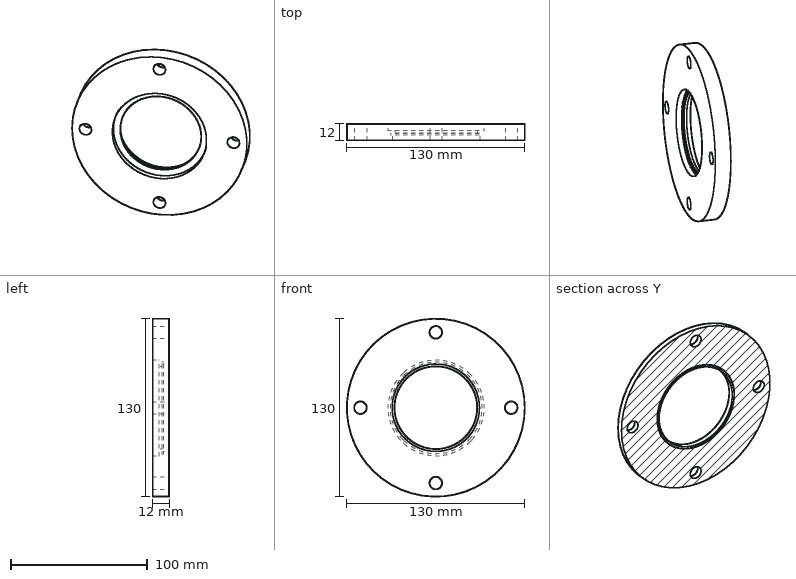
import cadquery as cq

outer_diameter = 130.0
thickness = 12.0

front_seat_diameter = 63.8
front_seat_depth = 5.5
lip_diameter = 60.2
lip_width = 2.0
rear_recess_diameter = 70.1
rear_recess_start = front_seat_depth + lip_width
rear_recess_depth = thickness - rear_recess_start

groove_diameter = 67.0
groove_start = 4.3
groove_width = 1.0

bolt_hole_diameter = 9.0
bolt_circle_diameter = 110.0
bolt_hole_count = 4


def cylinder(diameter, start, length):
    """Cylinder along +Y beginning at the given distance behind the front face."""
    plane = cq.Workplane("XZ", origin=(0, start, 0))
    return plane.circle(diameter / 2).extrude(-length)


def bolt_holes():
    """Through holes evenly spaced on the bolt circle."""
    return (
        cq.Workplane("XZ")
        .polarArray(bolt_circle_diameter / 2, 0, 360, bolt_hole_count)
        .circle(bolt_hole_diameter / 2)
        .extrude(-thickness)
    )


result = (
    cylinder(outer_diameter, 0, thickness)
    .cut(cylinder(lip_diameter, 0, thickness))
    .cut(cylinder(front_seat_diameter, 0, front_seat_depth))
    .cut(cylinder(groove_diameter, groove_start, groove_width))
    .cut(cylinder(rear_recess_diameter, rear_recess_start, rear_recess_depth))
    .cut(bolt_holes())
)